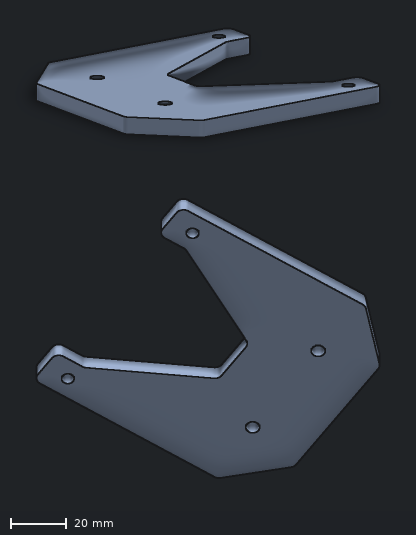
import cadquery as cq

width = 95.0
length = 100.0
thickness = 6.5
corner_chamfer = 20.0
corner_radius = 3.0

arm_width = 15.0
arm_straight_length = 12.0
notch_depth = 55.0
notch_floor_width = 19.0

arm_hole_diameter = 4.5
arm_hole_end_distance = 10.0
base_hole_diameter = 5.0
base_hole_spacing = 42.0
base_hole_edge_distance = 22.5

half_width = width / 2
half_length = length / 2
notch_half_mouth = half_width - arm_width
notch_half_floor = notch_floor_width / 2
shoulder_y = half_length - arm_straight_length
notch_floor_y = half_length - notch_depth

right_outline = [
    (half_width - corner_chamfer, -half_length),
    (half_width, -half_length + corner_chamfer),
    (half_width, half_length),
    (notch_half_mouth, half_length),
    (notch_half_mouth, shoulder_y),
    (notch_half_floor, notch_floor_y),
]
left_outline = [(-x, y) for x, y in reversed(right_outline)]

plate = (
    cq.Workplane("XY")
    .polyline(right_outline + left_outline)
    .close()
    .extrude(thickness)
    .edges("|Z")
    .fillet(corner_radius)
)


def through_holes(spacing, y, diameter):
    """Pair of cutters placed symmetrically about the YZ plane."""
    centres = [(-spacing / 2, y), (spacing / 2, y)]
    return cq.Workplane("XY").pushPoints(centres).circle(diameter / 2).extrude(thickness)


arm_holes = through_holes(width - arm_width, half_length - arm_hole_end_distance, arm_hole_diameter)
base_holes = through_holes(base_hole_spacing, -half_length + base_hole_edge_distance, base_hole_diameter)

result = plate.cut(arm_holes).cut(base_holes)